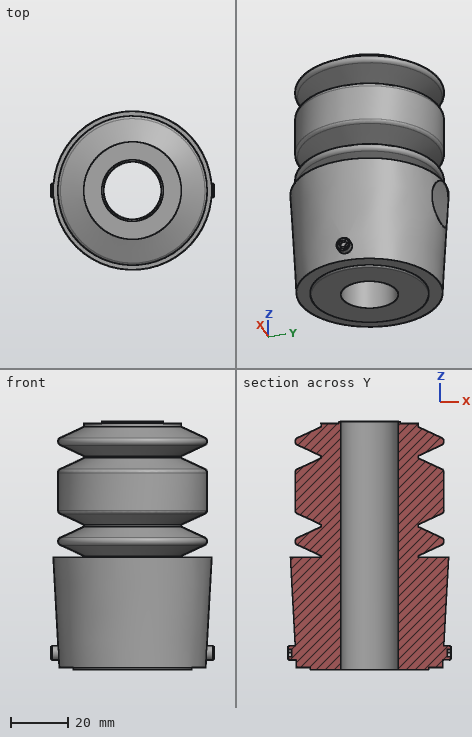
import cadquery as cq
import math

height = 86.55
bore_diameter = 20.0
bottom_lip_radius = 20.7
bottom_lip_height = 0.8
top_lip_radius = 10.7
top_lip_height = 0.7
lip_rounding = 0.3

base_bottom_radius = 25.5
base_top_radius = 55.3 / 2
base_top_z = 39.2

neck_radius = 34.0 / 2
rib_radius = 52.0 / 2
rib_rounding = 1.5
flank_angle = math.radians(25)
band_center_z = 62.1
band_half_height = 7.45
rib_offset = 17.4
selection_margin = 0.9

screw_reach = 56.9 / 2
screw_root = 21.6
screw_diameter = 5.0
screw_z = 5.9
screw_chamfer = 0.4
socket_across_flats = 2.5
socket_depth = 1.3

scoop_lowest_z = 22.5
scoop_lowest_y = 26.8
scoop_middle_z = 29.0
scoop_middle_y = 25.9
scoop_clearance = 4.3


def disc(radius, bottom_z, thickness):
    return cq.Workplane("XY", origin=(0, 0, bottom_z)).circle(radius).extrude(thickness)


def revolved(points):
    return cq.Workplane("XZ").polyline(points).close().revolve(360, (0, 0, 0), (0, 1, 0))


def rounded_rib(center_z):
    """Double cone with a rounded rim; its flanks are tangent to the rounding."""
    arc_center = rib_radius - rib_rounding
    tangent_radius = arc_center + rib_rounding * math.sin(flank_angle)
    tangent_height = rib_rounding * math.cos(flank_angle)
    foot_height = tangent_height + (tangent_radius - neck_radius) * math.tan(flank_angle)
    return (
        cq.Workplane("XZ")
        .moveTo(0, center_z - foot_height)
        .lineTo(neck_radius, center_z - foot_height)
        .lineTo(tangent_radius, center_z - tangent_height)
        .threePointArc((rib_radius, center_z), (tangent_radius, center_z + tangent_height))
        .lineTo(neck_radius, center_z + foot_height)
        .lineTo(0, center_z + foot_height)
        .close()
        .revolve(360, (0, 0, 0), (0, 1, 0))
    )


def wide_band():
    """Cylindrical band with conical flanks and rounded shoulders."""
    flank_height = (rib_radius - neck_radius) * math.tan(flank_angle)
    foot_half_height = band_half_height + flank_height
    band = revolved([
        (0, band_center_z - foot_half_height),
        (neck_radius, band_center_z - foot_half_height),
        (rib_radius, band_center_z - band_half_height),
        (rib_radius, band_center_z + band_half_height),
        (neck_radius, band_center_z + foot_half_height),
        (0, band_center_z + foot_half_height),
    ])
    shoulders = cq.selectors.BoxSelector(
        (-height, -height, band_center_z - band_half_height - selection_margin),
        (height, height, band_center_z + band_half_height + selection_margin),
    )
    return band.edges("%CIRCLE").edges(shoulders).fillet(rib_rounding)


def base():
    return revolved([
        (0, bottom_lip_height),
        (base_bottom_radius, bottom_lip_height),
        (base_top_radius, base_top_z),
        (0, base_top_z),
    ])


def scoop():
    """Cylindrical cutter running along X, open towards +Y."""
    outside_y = base_top_radius + scoop_clearance
    return (
        cq.Workplane("YZ")
        .moveTo(base_top_radius, base_top_z)
        .threePointArc((scoop_middle_y, scoop_middle_z), (scoop_lowest_y, scoop_lowest_z))
        .lineTo(outside_y, scoop_lowest_z)
        .lineTo(outside_y, base_top_z)
        .close()
        .extrude(base_top_radius, both=True)
    )


def set_screw():
    """Screw pointing towards +X with a hexagonal socket in its end."""
    socket_across_corners = socket_across_flats / math.cos(math.radians(30))
    return (
        cq.Workplane("YZ", origin=(screw_root, 0, screw_z))
        .circle(screw_diameter / 2)
        .extrude(screw_reach - screw_root)
        .faces(">X").chamfer(screw_chamfer)
        .faces(">X").workplane()
        .polygon(6, socket_across_corners)
        .cutBlind(-socket_depth)
    )


collar_top_z = height - top_lip_height
result = base().cut(scoop())
result = result.union(disc(neck_radius, base_top_z, collar_top_z - base_top_z))

result = result.union(wide_band())
for side in (-1, 1):
    result = result.union(rounded_rib(band_center_z + side * rib_offset))

bottom_lip = disc(bottom_lip_radius, 0, bottom_lip_height).faces("<Z").edges().fillet(lip_rounding)
top_lip = disc(top_lip_radius, collar_top_z, top_lip_height).faces(">Z").edges().fillet(lip_rounding)
result = result.union(bottom_lip).union(top_lip)

for turn in (0, 180):
    result = result.union(set_screw().rotate((0, 0, 0), (0, 0, 1), turn))

result = result.cut(disc(bore_diameter / 2, 0, height))